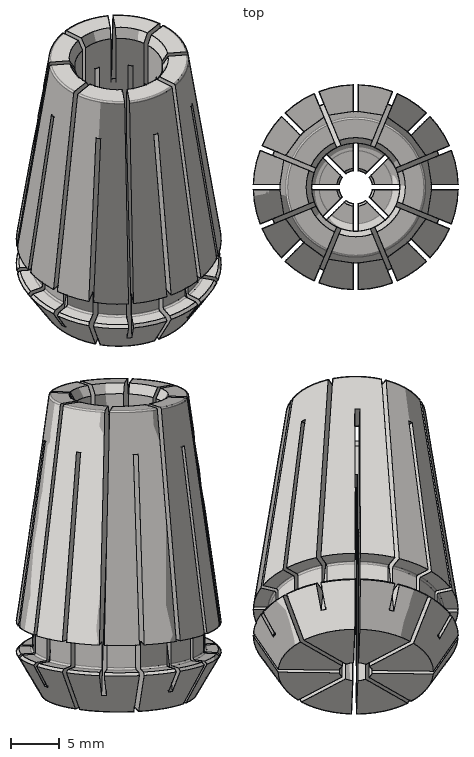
import cadquery as cq
import math

length = 31.5
max_radius = 10.5
taper_angle = 8.0
nose_angle = 30.0
rear_edge_fillet = 0.2

nose_cone_height = 4.4
nose_rim_chamfer = 0.28
groove_radius = 8.82
groove_bottom = nose_cone_height + nose_rim_chamfer
groove_top = 7.62
groove_fillet = 0.2

relief_radius = 9.0 / 2
relief_floor = 15.75
relief_fillet = 0.75
grip_radius = 1.7
grip_chamfer = 0.25
mouth_radius = 5.07
mouth_depth = 1.0

slots_per_set = 8
slot_pitch = 360 / slots_per_set
slot_width = 0.5
nose_slot_top = 27.03
rear_slot_bottom = 2.02
rear_slot_break_height = 25.2
cut_margin = 3.15

nose_slope = math.tan(math.radians(nose_angle))
taper_slope = math.tan(math.radians(taper_angle))


def outer_body():
    nose_radius = max_radius - nose_cone_height * nose_slope
    rear_radius = max_radius - (length - groove_top) * taper_slope
    body = (
        cq.Workplane("XZ")
        .moveTo(0, 0)
        .lineTo(nose_radius, 0)
        .lineTo(max_radius, nose_cone_height)
        .lineTo(max_radius - nose_rim_chamfer, groove_bottom)
        .lineTo(groove_radius + groove_fillet, groove_bottom)
        .radiusArc((groove_radius, groove_bottom + groove_fillet), groove_fillet)
        .lineTo(groove_radius, groove_top - groove_fillet)
        .radiusArc((groove_radius + groove_fillet, groove_top), groove_fillet)
        .lineTo(max_radius, groove_top)
        .lineTo(rear_radius, length)
        .lineTo(0, length)
        .close()
        .revolve(360, (0, 0), (0, 1))
    )
    return body.faces(">Z").edges().fillet(rear_edge_fillet)


def stepped_bore():
    return (
        cq.Workplane("XZ")
        .moveTo(0, 0)
        .lineTo(grip_radius, 0)
        .lineTo(grip_radius, relief_floor - grip_chamfer)
        .lineTo(grip_radius + grip_chamfer, relief_floor)
        .lineTo(relief_radius - relief_fillet, relief_floor)
        .radiusArc((relief_radius, relief_floor + relief_fillet), -relief_fillet)
        .lineTo(relief_radius, length - mouth_depth)
        .lineTo(mouth_radius, length)
        .lineTo(0, length)
        .close()
        .revolve(360, (0, 0), (0, 1))
    )


def slot_cutter(profile):
    """Slab of slot width from a closed (radius, height) profile on the +X side."""
    return cq.Workplane("XZ").polyline(profile).close().extrude(slot_width / 2, both=True)


def nose_slot():
    reach = max_radius + cut_margin
    return slot_cutter([(0, -cut_margin), (reach, -cut_margin), (reach, nose_slot_top), (0, nose_slot_top)])


def rear_slot():
    """Slot open to the rear, its floor sloping outward from the relief bore to the nose cone."""
    reach = max_radius + cut_margin
    top = length + cut_margin
    exit_radius = max_radius - (nose_cone_height - rear_slot_bottom) * nose_slope
    return slot_cutter([
        (exit_radius, rear_slot_bottom),
        (reach, rear_slot_bottom),
        (reach, top),
        (0, top),
        (0, rear_slot_break_height),
        (relief_radius, rear_slot_break_height),
    ])


result = outer_body().cut(stepped_bore())
for index in range(slots_per_set):
    angle = index * slot_pitch
    result = result.cut(nose_slot().rotate((0, 0, 0), (0, 0, 1), angle))
    result = result.cut(rear_slot().rotate((0, 0, 0), (0, 0, 1), angle + slot_pitch / 2))